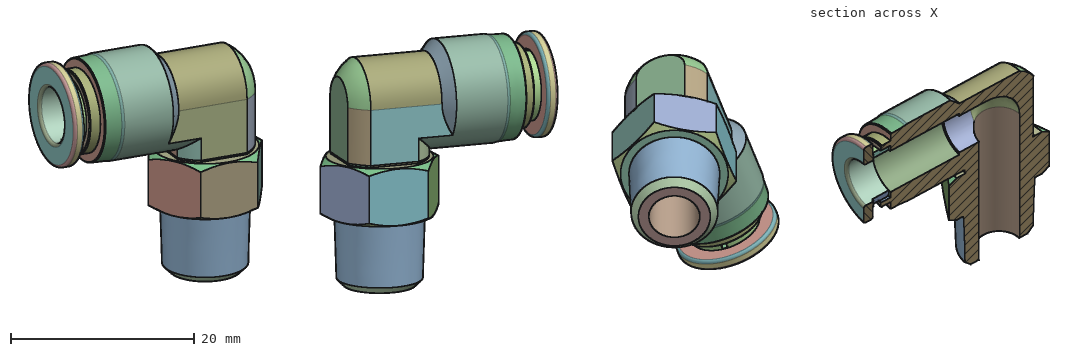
import cadquery as cq
import math


hex_sides = 6
hex_width = 12.0
hex_top = -6.5
hex_height = 6.5
hex_chamfer_radius = 5.89
hex_chamfer_angle = 30.0
stud_length = 8.0
stud_root_radius = 4.97
thread_taper = 1 / 32
stud_chamfer = 0.8

arm_radius = 4.75
corner_radius = 5.5
base_groove_height = 0.25
base_groove_depth = 0.1

socket_radius = hex_width / 2
cone_start = 5.5
cone_end = cone_start + socket_radius - arm_radius
socket_end = 12.7
lip_start = 13.01
lip_end = 15.0
lip_start_radius = 5.9
lip_end_radius = 5.83
lip_chamfer = 0.1
ring_end = 16.34
ring_radius = 4.75
ring_chamfer = 0.14

collet_front = 18.7
flange_thickness = 1.32
flange_radius = 5.83
flange_fillet = 0.35
neck_radius = 3.97
slot_width = 0.6
slot_to_flange = 0.08

tube_radius = 3.13
tube_stop = cone_start
passage_radius = 2.78
bend_radius = 1.85

hex_bottom = hex_top - hex_height
stud_bottom = hex_bottom - stud_length
flange_back = collet_front - flange_thickness
collet_back = lip_end


def turned_about_z(points):
    """Solid of revolution about Z from (radius, z) points."""
    return cq.Workplane("XZ").polyline(points).close().revolve(360, (0, 0, 0), (0, 1, 0))


def turned_about_tube_axis(points):
    """Solid of revolution about Y from (radius, distance toward the open end) points."""
    outline = [(radius, -distance) for radius, distance in points]
    return cq.Workplane("XY").polyline(outline).close().revolve(360, (0, 0, 0), (0, 1, 0))


def tube_cylinder(radius, start, end):
    """Cylinder on the tube axis between two distances toward the open end."""
    return cq.Workplane("XZ", origin=(0, -start, 0)).circle(radius).extrude(end - start)


def make_hexagon():
    half_side_angle = 180 / hex_sides
    corner = hex_width / 2 / math.cos(math.radians(half_side_angle))
    drop = (corner - hex_chamfer_radius) * math.tan(math.radians(hex_chamfer_angle))
    prism = (
        cq.Workplane("XY", origin=(0, 0, hex_bottom))
        .polygon(hex_sides, 2 * corner)
        .extrude(hex_height)
        .rotate((0, 0, 0), (0, 0, 1), half_side_angle)
    )
    chamfered_blank = turned_about_z([
        (0, hex_bottom),
        (hex_chamfer_radius, hex_bottom),
        (corner, hex_bottom + drop),
        (corner, hex_top - drop),
        (hex_chamfer_radius, hex_top),
        (0, hex_top),
    ])
    return prism.intersect(chamfered_blank)


def make_stud():
    taper_end = stud_bottom + stud_chamfer
    end_radius = stud_root_radius - (hex_bottom - taper_end) * thread_taper
    return turned_about_z([
        (0, hex_bottom),
        (stud_root_radius, hex_bottom),
        (end_radius, taper_end),
        (end_radius - stud_chamfer, stud_bottom),
        (0, stud_bottom),
    ])


def make_shaft():
    """Upright square shaft with corners on a cylinder, narrowed toward its foot."""
    width = 2 * arm_radius
    square = cq.Workplane("XY", origin=(0, 0, hex_top)).rect(width, width).extrude(-hex_top)
    square = square.faces("<Z").chamfer(base_groove_height, base_groove_depth)
    rounding = turned_about_z([
        (0, hex_top),
        (corner_radius - base_groove_depth, hex_top),
        (corner_radius, hex_top + base_groove_height),
        (corner_radius, 0),
        (0, 0),
    ])
    return square.intersect(rounding)


def straight_half(floor, height, back):
    """Block as wide as the arm, from the given place behind the stud axis to the end of the cone."""
    length = cone_end + back
    block = cq.Workplane("XY").box(2 * arm_radius, length, height, centered=(True, False, False))
    return block.translate((0, -cone_end, floor))


def make_arm():
    """Horizontal arm: a domed round top over a straight-sided lower half with the socket's bottom."""
    dome_limit = cq.Workplane("XY").sphere(corner_radius)
    dome_limit = dome_limit.union(tube_cylinder(corner_radius, 0, cone_end))
    top = tube_cylinder(arm_radius, -arm_radius, cone_end).intersect(dome_limit)
    top = top.intersect(straight_half(0, arm_radius, arm_radius))
    bottom = tube_cylinder(socket_radius, 0, cone_end)
    bottom = bottom.intersect(straight_half(-socket_radius, socket_radius, 0))
    return top.union(bottom)


def make_socket():
    return turned_about_tube_axis([
        (0, cone_start),
        (arm_radius, cone_start),
        (socket_radius, cone_end),
        (socket_radius, socket_end),
        (lip_start_radius, lip_start),
        (lip_end_radius, lip_end - lip_chamfer),
        (lip_end_radius - lip_chamfer, lip_end),
        (ring_radius, lip_end),
        (ring_radius, ring_end - ring_chamfer),
        (ring_radius - ring_chamfer, ring_end),
        (0, ring_end),
    ])


def make_passage():
    """Tube bore, stop, round bend and the bore down through the stud."""
    collet_seat = tube_cylinder(neck_radius, collet_back, ring_end)
    tube_bore = tube_cylinder(tube_radius, tube_stop, ring_end)
    inlet = tube_cylinder(passage_radius, bend_radius, ring_end)
    outlet = (
        cq.Workplane("XY", origin=(0, 0, stud_bottom))
        .circle(passage_radius)
        .extrude(-bend_radius - stud_bottom)
    )
    half_chord = math.sqrt(passage_radius**2 - bend_radius**2)
    bend = (
        cq.Workplane("XZ", origin=(0, -bend_radius, 0))
        .moveTo(-half_chord, -bend_radius)
        .threePointArc((0, passage_radius), (half_chord, -bend_radius))
        .close()
        .revolve(90, (0, -bend_radius, 0), (-1, -bend_radius, 0))
    )
    return inlet.union(outlet).union(bend).union(tube_bore).union(collet_seat)


def make_elbow():
    elbow = make_hexagon().union(make_stud()).union(make_shaft())
    elbow = elbow.union(make_arm()).union(make_socket())
    return elbow.cut(make_passage())


def make_collet():
    """Release collet: rounded flange on a slotted neck."""
    flange = tube_cylinder(flange_radius, flange_back, collet_front).edges().fillet(flange_fillet)
    neck = tube_cylinder(neck_radius, collet_back, flange_back)
    collet = flange.union(neck).cut(tube_cylinder(tube_radius, collet_back, collet_front))
    mouth = cq.selectors.RadiusNthSelector(0)
    collet = collet.faces("<Y").edges(mouth).fillet(flange_fillet)
    slot_length = flange_back - slot_to_flange - collet_back
    slot = (
        cq.Workplane("XY")
        .box(slot_width, slot_length, 2 * flange_radius)
        .translate((0, -collet_back - slot_length / 2, 0))
    )
    return collet.cut(slot)


elbow = make_elbow()
collet = make_collet()
result = cq.Compound.makeCompound([elbow.solids().val(), collet.solids().val()])